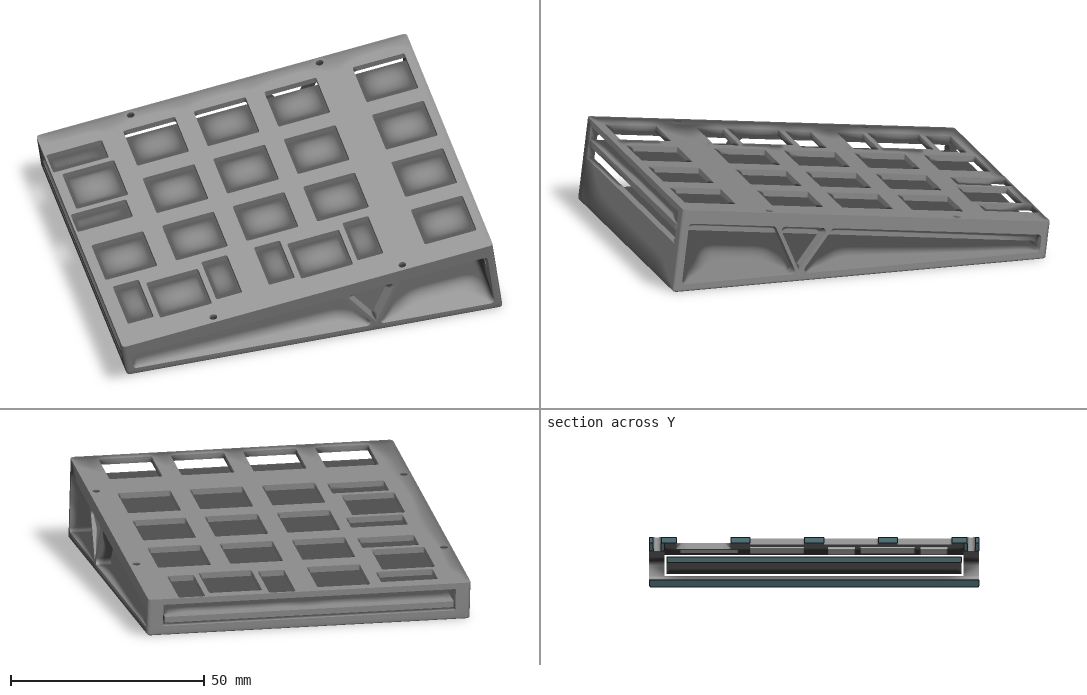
import cadquery as cq
import math


SLOPE = 7.0
KEY_PITCH = 19.05
KEY_COLUMNS = 4
KEY_ROWS = 5
ROW_GAP = KEY_PITCH / 4
SIDE_WALL = 4.0
BOARD_SIDE_GAP = 0.5
END_WALL = 2.0
FLOOR = 2.0
FRONT_HEIGHT = 10.0
PLATE_THICKNESS = 1.6
BOARD_THICKNESS = 1.6
BOARD_DEPTH = 5.0
CORNER_RADIUS = 1.0
BOTTOM_RADIUS = 0.5

KEY_CUTOUT = 14.0
CUTOUT_RADIUS = 0.5
STABILIZER_WIDTH = 7.0
STABILIZER_LONG_SIDE = 9.0
STABILIZER_SHORT_SIDE = 6.0
STABILIZER_OFFSET = 11.938

SCREW_DIAMETER = 2.0
SCREW_FROM_BACK = 24.0
SCREW_FROM_FRONT = 25.0

FRONT_NOTCH_DEPTH = 7.5
BACK_NOTCH_DEPTH = 10.2
WINDOW_DEPTH = 3.6
INNER_RADIUS = 1.0
STRUT_WIDTH = 0.95
STRUT_ANGLE = 30.0

board_width = KEY_COLUMNS * KEY_PITCH
length = KEY_ROWS * KEY_PITCH + ROW_GAP
cavity_width = board_width + 2 * BOARD_SIDE_GAP
width = cavity_width + 2 * SIDE_WALL
plate_bottom = FRONT_HEIGHT - PLATE_THICKNESS
board_top = FRONT_HEIGHT - BOARD_DEPTH
window_top = FRONT_HEIGHT - WINDOW_DEPTH
drop_per_length = math.tan(math.radians(SLOPE))
floor_rise = FLOOR / math.cos(math.radians(SLOPE))
strut_foot_y = length * 2 / 3
strut_half_height = STRUT_WIDTH / 2 / math.sin(math.radians(STRUT_ANGLE))
screw_x = width / 2 - SIDE_WALL / 2
screw_points = [
    (side * screw_x, y)
    for side in (-1, 1)
    for y in (SCREW_FROM_FRONT, length - SCREW_FROM_BACK)
]


def floor_z(y):
    """Height of the inner floor, which drops toward the back in the plate frame."""
    return floor_rise - y * drop_per_length


def side_prism(points, prism_width):
    """Prism across X, centred on the middle plane, from a (Y, Z) outline."""
    return cq.Workplane("YZ").polyline(points).close().extrude(prism_width / 2, both=True)


def slab(slab_width, z_bottom, z_top):
    """Full-length slab parallel to the plate."""
    return cq.Workplane("XY").box(
        slab_width, length, z_top - z_bottom, centered=(True, False, False)
    ).translate((0, 0, z_bottom))


def key_x(column):
    return (column + 0.5) * KEY_PITCH - board_width / 2


def key_y(row):
    """Key centre; row 0 is at the front, the last row sits behind the row gap."""
    gap = ROW_GAP if row == KEY_ROWS - 1 else 0
    return (row + 0.5) * KEY_PITCH + gap


def cutout(x_min, x_max, y_min, y_max):
    return (
        cq.Workplane("XY", origin=((x_min + x_max) / 2, (y_min + y_max) / 2, plate_bottom))
        .rect(x_max - x_min, y_max - y_min)
        .extrude(PLATE_THICKNESS)
        .edges("|Z")
        .fillet(CUTOUT_RADIUS)
    )


def key_cutout(x, y):
    half = KEY_CUTOUT / 2
    return cutout(x - half, x + half, y - half, y + half)


def wide_key_cutouts(x, y):
    """Double-width key with a stabilizer slot on its left and right."""
    half = STABILIZER_WIDTH / 2
    cuts = [key_cutout(x, y)]
    for slot_x in (x - STABILIZER_OFFSET, x + STABILIZER_OFFSET):
        cuts.append(
            cutout(slot_x - half, slot_x + half, y - STABILIZER_LONG_SIDE, y + STABILIZER_SHORT_SIDE)
        )
    return cuts


def tall_key_cutouts(x, y):
    """Double-height key with a stabilizer slot in front of it and behind it."""
    half = STABILIZER_WIDTH / 2
    cuts = [key_cutout(x, y)]
    for slot_y in (y - STABILIZER_OFFSET, y + STABILIZER_OFFSET):
        cuts.append(
            cutout(x - STABILIZER_LONG_SIDE, x + STABILIZER_SHORT_SIDE, slot_y - half, slot_y + half)
        )
    return cuts


def make_plate():
    plate = slab(width, plate_bottom, FRONT_HEIGHT).edges("|Z").fillet(CORNER_RADIUS)
    single_keys = [(column, row) for row in (1, 2, 3) for column in (0, 1, 2)]
    single_keys += [(column, KEY_ROWS - 1) for column in range(KEY_COLUMNS)]
    single_keys.append((2, 0))
    cuts = [key_cutout(key_x(column), key_y(row)) for column, row in single_keys]
    cuts += wide_key_cutouts((key_x(0) + key_x(1)) / 2, key_y(0))
    for front_row in (0, 2):
        cuts += tall_key_cutouts(key_x(3), (key_y(front_row) + key_y(front_row + 1)) / 2)
    for cut in cuts:
        plate = plate.cut(cut)
    screw_holes = (
        cq.Workplane("XY", origin=(0, 0, plate_bottom))
        .pushPoints(screw_points)
        .circle(SCREW_DIAMETER / 2)
        .extrude(PLATE_THICKNESS)
    )
    return plate.cut(screw_holes)


def make_board():
    return slab(board_width, board_top - BOARD_THICKNESS, board_top)


def cavity_outline(top):
    """Inside of the case between the end walls, from the floor up to the given height."""
    front = END_WALL
    back = length - END_WALL
    return [(front, top), (front, floor_z(front)), (back, floor_z(back)), (back, top)]


def strut_pair():
    """V of two struts, its foot on the floor and its point sunk into it."""
    foot_z = floor_z(strut_foot_y)
    rise = FRONT_HEIGHT - foot_z
    spread = rise * math.tan(math.radians(STRUT_ANGLE))
    outline = [
        (strut_foot_y, foot_z - strut_half_height),
        (strut_foot_y + spread, foot_z + rise - strut_half_height),
        (strut_foot_y + spread, foot_z + rise + strut_half_height),
        (strut_foot_y, foot_z + strut_half_height),
        (strut_foot_y - spread, foot_z + rise + strut_half_height),
        (strut_foot_y - spread, foot_z + rise - strut_half_height),
    ]
    return side_prism(outline, width)


def inner_space():
    """Cavity between the walls, joined to the side windows that the V of struts parts."""
    windows = side_prism(cavity_outline(window_top), width).cut(strut_pair())
    space = side_prism(cavity_outline(plate_bottom), cavity_width).union(windows)
    below_plate = cq.selectors.BoxSelector(
        (-width, 0, floor_z(length) - FLOOR), (width, length, window_top + INNER_RADIUS)
    )
    crotch_z = floor_z(strut_foot_y) + strut_half_height
    strut_crotch = cq.selectors.BoxSelector(
        (-width, strut_foot_y - STRUT_WIDTH / 2, crotch_z - STRUT_WIDTH / 2),
        (width, strut_foot_y + STRUT_WIDTH / 2, crotch_z + STRUT_WIDTH / 2),
    )
    return space.edges("|X").edges(below_plate - strut_crotch).fillet(INNER_RADIUS)


def end_notch(y, depth):
    """Full-width notch in one end wall, open at the top where the plate closes it."""
    height = depth - PLATE_THICKNESS
    return cq.Workplane("XY", origin=(0, y, FRONT_HEIGHT - depth)).box(
        cavity_width, END_WALL, height, centered=(True, False, False)
    )


def make_case():
    shell = side_prism(
        [(0, 0), (0, plate_bottom), (length, plate_bottom), (length, -length * drop_per_length)],
        width,
    )
    shell = shell.edges("|Z").fillet(CORNER_RADIUS)
    shell = shell.faces("<Z").edges().fillet(BOTTOM_RADIUS)
    screw_holes = (
        cq.Workplane("XY", origin=(0, 0, window_top))
        .pushPoints(screw_points)
        .circle(SCREW_DIAMETER / 2)
        .extrude(plate_bottom - window_top)
    )
    shell = shell.cut(inner_space()).cut(screw_holes)
    shell = shell.cut(end_notch(0, FRONT_NOTCH_DEPTH))
    return shell.cut(end_notch(length - END_WALL, BACK_NOTCH_DEPTH))


def level(body):
    """Turn a body from the plate frame so that the floor of the case is horizontal."""
    return body.rotate((0, 0, 0), (1, 0, 0), SLOPE)


plate = level(make_plate())
board = level(make_board())
case = level(make_case())

result = cq.Compound.makeCompound([plate.val(), board.val(), case.val()])